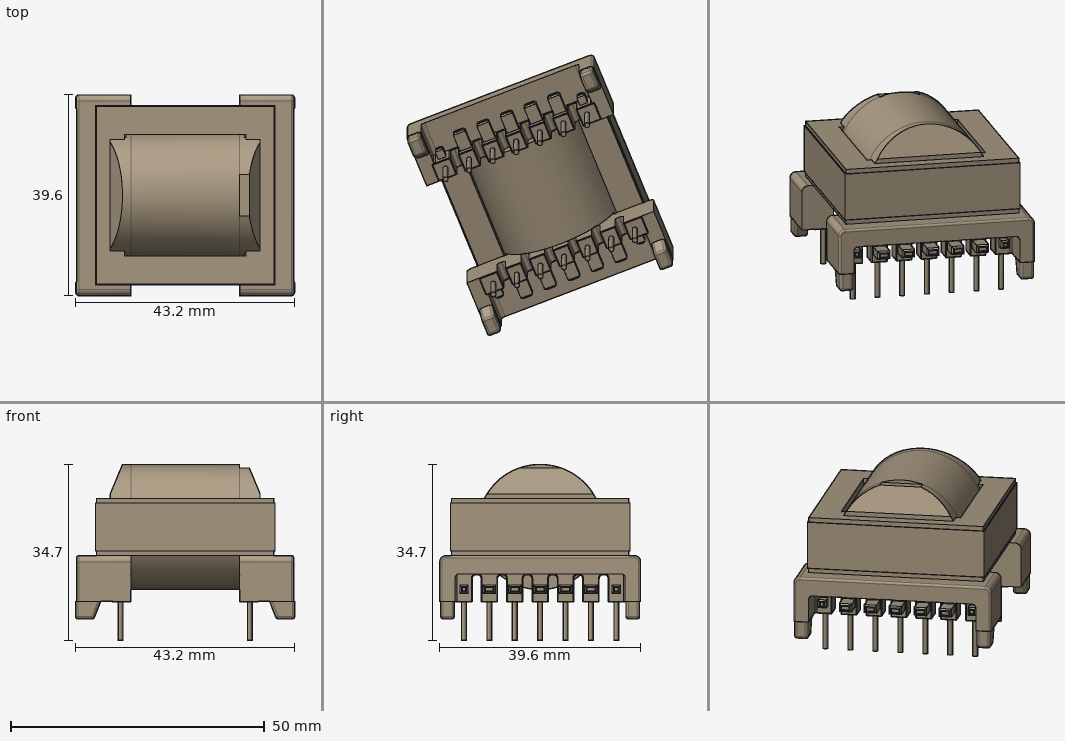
import cadquery as cq
import math

FEET_SPAN = 43.18
FRAME_SPAN_X = 42.8
FRAME_SPAN_Y = 39.6
TOP_Z = 30.47

CORE_SIDE = 35.4
PLATE_SIDE = 34.95
PLATE_THICKNESS = 0.9
CORE_HEIGHT = 9.45
FRAME_TOP_Z = 12.5
CORE_BOTTOM_Z = FRAME_TOP_Z + PLATE_THICKNESS
CORE_TOP_Z = CORE_BOTTOM_Z + CORE_HEIGHT
STACK_TOP_Z = CORE_TOP_Z + PLATE_THICKNESS
PLATE_WINDOW = 23.9
CORE_WINDOW_X = 23.4

COIL_Z = (FRAME_TOP_Z + STACK_TOP_Z) / 2
COIL_RADIUS = TOP_Z - COIL_Z
COIL_LENGTH = 21.4

FLANGE_X = 14.78
FLANGE_EDGE_Z = 24.65
FLANGE_CREST_X = 12.35
FLAT_CREST_DROP = 0.7

FRAME_INNER_X = COIL_LENGTH / 2
FRAME_OUTER_X = FRAME_SPAN_X / 2
FRAME_BOTTOM_Z = 3.5
SHOULDER_RADIUS = 1.25
EDGE_RADIUS = 0.45
CAVITY_TOP_Z = 8.88
CAVITY_HALF_WIDTH = 16.75
CAVITY_CORNER_RADIUS = 0.8
CAVITY_CORNER_BEVEL = 0.35

PIN_COUNT = 7
PIN_PITCH = 5.0
PIN_ROW_SPACING = 25.45
PIN_DIAMETER = 1.0
PIN_LENGTH = 4.2
PIN_EMBED = 1.0
POST_OUTER_X = 14.45
POST_BOTTOM_Z = 3.33
POST_CHAMFER = 0.17
POST_OVERLAP = 0.5
SLOT_WIDTH = 1.74
SLOT_TOP_Z = CAVITY_TOP_Z - POST_CHAMFER
SLOT_CORNER_RADIUS = 0.75

STUB_Z = 5.85
STUB_HEIGHT = 1.65
STUB_WIDTH = 2.5
END_STUB_WIDTH = 1.65
STUB_TIP_X = 18.4
END_STUB_TIP_X = 16.5
STUB_FLANK_INSET = 0.3
STUB_FLANK_DEPTH = 0.3
STUB_CROWN_INSET = 0.2
STUB_CROWN_DEPTH = 0.1

FOOT_INNER_Y = 16.9
FOOT_OUTER_Y = 19.6
FOOT_TOP_LENGTH = 5.0
FOOT_BOTTOM_LENGTH = 3.6
FOOT_EDGE_RADIUS = 0.5


def make_box(x_range, y_range, z_range):
    """Box spanning three (low, high) ranges."""
    lengths = [high - low for low, high in (x_range, y_range, z_range)]
    corner = (x_range[0], y_range[0], z_range[0])
    return cq.Workplane("XY").box(*lengths, centered=False).translate(corner)


def make_slab(size_x, size_y, bottom_z, top_z):
    """Rectangular slab centred on the Z axis."""
    return cq.Workplane("XY").workplane(offset=bottom_z).rect(size_x, size_y).extrude(top_z - bottom_z)


def make_core():
    core = make_slab(CORE_SIDE, CORE_SIDE, CORE_BOTTOM_Z, CORE_TOP_Z)
    core = core.cut(make_slab(CORE_WINDOW_X, PLATE_WINDOW, CORE_BOTTOM_Z, CORE_TOP_Z))
    for bottom_z in (FRAME_TOP_Z, CORE_TOP_Z):
        top_z = bottom_z + PLATE_THICKNESS
        plate = make_slab(PLATE_SIDE, PLATE_SIDE, bottom_z, top_z)
        window = make_slab(PLATE_WINDOW, PLATE_WINDOW, bottom_z, top_z)
        core = core.union(plate.cut(window))
    return core


def make_coil_cylinder(length):
    return cq.Workplane("YZ").center(0, COIL_Z).circle(COIL_RADIUS).extrude(length / 2, both=True)


def make_coil():
    """Round winding plus the flanges; the +X flange has a flat crest."""
    slope = (FLANGE_X - FLANGE_CREST_X) / (TOP_Z - FLANGE_EDGE_Z)
    flat_crest_z = TOP_Z - FLAT_CREST_DROP
    flat_crest_x = FLANGE_CREST_X + slope * FLAT_CREST_DROP
    side_profile = (
        cq.Workplane("XZ")
        .polyline([
            (-FLANGE_X, CORE_BOTTOM_Z),
            (FLANGE_X, CORE_BOTTOM_Z),
            (FLANGE_X, FLANGE_EDGE_Z),
            (flat_crest_x, flat_crest_z),
            (FRAME_INNER_X, flat_crest_z),
            (FRAME_INNER_X, TOP_Z),
            (-FLANGE_CREST_X, TOP_Z),
            (-FLANGE_X, FLANGE_EDGE_Z),
        ])
        .close()
        .extrude(COIL_RADIUS, both=True)
    )
    flanged_top = make_coil_cylinder(2 * FLANGE_X).intersect(side_profile)
    return make_coil_cylinder(COIL_LENGTH).union(flanged_top)


def make_cavity():
    """Hollow with rounded upper corners; bevels join its side walls to the post faces."""
    inner_half = CAVITY_HALF_WIDTH - CAVITY_CORNER_BEVEL
    bevel_end_x = POST_OUTER_X + CAVITY_CORNER_BEVEL
    side_walls = (-CAVITY_HALF_WIDTH, CAVITY_HALF_WIDTH)
    cavity = make_box((FRAME_INNER_X, FRAME_OUTER_X), side_walls, (FRAME_BOTTOM_Z, CAVITY_TOP_Z))
    cavity = cavity.faces(">Z").edges("|X").fillet(CAVITY_CORNER_RADIUS)
    plan = (
        cq.Workplane("XY")
        .workplane(offset=FRAME_BOTTOM_Z)
        .polyline([
            (FRAME_INNER_X, -inner_half),
            (POST_OUTER_X, -inner_half),
            (bevel_end_x, -CAVITY_HALF_WIDTH),
            (FRAME_OUTER_X, -CAVITY_HALF_WIDTH),
            (FRAME_OUTER_X, CAVITY_HALF_WIDTH),
            (bevel_end_x, CAVITY_HALF_WIDTH),
            (POST_OUTER_X, inner_half),
            (FRAME_INNER_X, inner_half),
        ])
        .close()
        .extrude(CAVITY_TOP_Z - FRAME_BOTTOM_Z)
    )
    return cavity.intersect(plan)


def make_frame_body():
    """Bridge with rounded shoulders, hollowed from below and from its outer end."""
    half_y = FRAME_SPAN_Y / 2
    body = make_box((FRAME_INNER_X, FRAME_OUTER_X), (-half_y, half_y), (FRAME_BOTTOM_Z, FRAME_TOP_Z))
    body = body.faces(">Z").edges("|X").fillet(SHOULDER_RADIUS)
    body = body.faces(">X").edges("not <Z").fillet(EDGE_RADIUS)
    return body.cut(make_cavity())


def make_post_row():
    """Wall along Y, split into posts by slots; its top and ends sit inside the frame."""
    half_y = CAVITY_HALF_WIDTH + POST_OVERLAP
    wall_top_z = CAVITY_TOP_Z + POST_OVERLAP
    row = make_box((FRAME_INNER_X, POST_OUTER_X), (-half_y, half_y), (POST_BOTTOM_Z, wall_top_z))
    for gap in range(PIN_COUNT - 1):
        slot_y = PIN_PITCH * (gap - (PIN_COUNT - 2) / 2)
        slot_sides = (slot_y - SLOT_WIDTH / 2, slot_y + SLOT_WIDTH / 2)
        slot = make_box((FRAME_INNER_X, POST_OUTER_X), slot_sides, (POST_BOTTOM_Z, SLOT_TOP_Z))
        slot = slot.faces(">Z").edges("|X").fillet(SLOT_CORNER_RADIUS)
        row = row.cut(slot)
    return row.faces(">X or <Z").edges().chamfer(POST_CHAMFER)


def make_tapered_block(origin, width, height, inset, depth):
    """Block growing along +X whose four sides lean inward by the inset."""
    taper = math.degrees(math.atan2(inset, depth))
    return cq.Workplane("YZ", origin=origin).rect(width, height).extrude(depth, taper=taper)


def make_stub(pin_y, width, tip_x):
    """Straight shank on the outer face of a post, with a tip of steep flanks below a flatter crown."""
    crown_x = tip_x - STUB_CROWN_DEPTH
    flank_x = crown_x - STUB_FLANK_DEPTH
    shank_base = (POST_OUTER_X, pin_y, STUB_Z)
    shank = make_tapered_block(shank_base, width, STUB_HEIGHT, 0, flank_x - POST_OUTER_X)
    flank_base = (flank_x, pin_y, STUB_Z)
    flank = make_tapered_block(flank_base, width, STUB_HEIGHT, STUB_FLANK_INSET, STUB_FLANK_DEPTH)
    crown_width = width - 2 * STUB_FLANK_INSET
    crown_height = STUB_HEIGHT - 2 * STUB_FLANK_INSET
    crown_base = (crown_x, pin_y, STUB_Z)
    crown = make_tapered_block(crown_base, crown_width, crown_height, STUB_CROWN_INSET, STUB_CROWN_DEPTH)
    return shank.union(flank).union(crown)


def make_pin(pin_y):
    return (
        cq.Workplane("XY", origin=(PIN_ROW_SPACING / 2, pin_y, -PIN_LENGTH))
        .circle(PIN_DIAMETER / 2)
        .extrude(PIN_LENGTH + POST_BOTTOM_Z + PIN_EMBED)
    )


def make_foot():
    """Foot at the +Y corner: upright outer face, sloping inner face, rounded edges."""
    outer_x = FEET_SPAN / 2
    foot = (
        cq.Workplane("XZ", origin=(0, FOOT_OUTER_Y, 0))
        .polyline([
            (outer_x, 0),
            (outer_x, FRAME_BOTTOM_Z),
            (outer_x - FOOT_TOP_LENGTH, FRAME_BOTTOM_Z),
            (outer_x - FOOT_BOTTOM_LENGTH, 0),
        ])
        .close()
        .extrude(FOOT_OUTER_Y - FOOT_INNER_Y)
    )
    return foot.edges("not >Z").fillet(FOOT_EDGE_RADIUS)


def make_pin_frame():
    """Complete frame for the +X end."""
    frame = make_frame_body().union(make_post_row())
    for index in range(PIN_COUNT):
        pin_y = PIN_PITCH * (index - (PIN_COUNT - 1) / 2)
        if index in (0, PIN_COUNT - 1):
            stub = make_stub(pin_y, END_STUB_WIDTH, END_STUB_TIP_X)
        else:
            stub = make_stub(pin_y, STUB_WIDTH, STUB_TIP_X)
        frame = frame.union(stub)
        frame = frame.union(make_pin(pin_y))
    foot = make_foot()
    return frame.union(foot).union(foot.mirror("XZ"))


pin_frame = make_pin_frame()
result = make_core().union(make_coil()).union(pin_frame).union(pin_frame.mirror("YZ"))